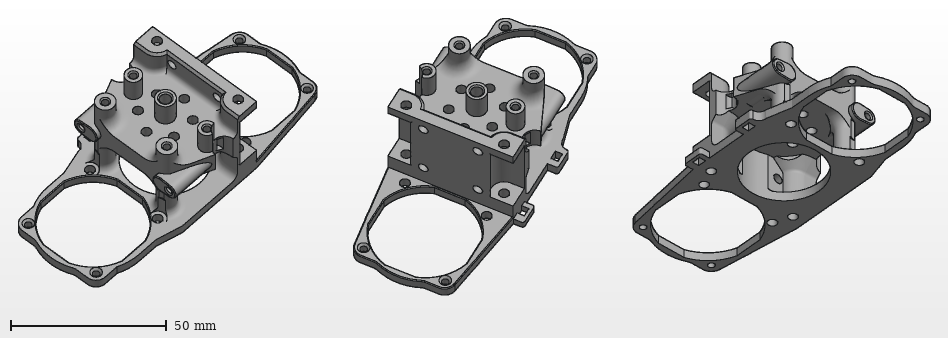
import cadquery as cq
import math

half_width = 22.55
plate_top = 3.6
deck_bottom = 18.3
deck_top = 26.0
overall_height = 35.1
edge_break = 0.3

front_fan_y = -34.5
rear_fan_y = 36.7
ring_radius = 20.0
fan_half_pitch = 14.7
fan_half_side = 18.1
fan_corner_radius = 4.0
fan_opening_radius = 18.4
fan_opening_half_side = 17.54
ring_blend_radius = 3.3
rear_taper_y = 18.9
front_taper_y = -16.7
front_neck_y = -26.4

clearance_diameter = 3.5
pilot_diameter = 2.5
pilot_sink_diameter = 3.5
pilot_depth = 8.9
fan_sink_diameter = 4.0
base_bore_diameter = 30.0

wall_back = 18.7
wall_front_end = 9.63
wall_front_middle = 13.9
wall_hole_x = 17.6
wall_hole_y = 15.4
wall_chamfer = 0.9
wall_deck_fillet = 2.0
wall_deck_bevel = 4.1
wall_bevel_foot = 1.8
wall_base_fillet = 2.9
wall_base_fillet_middle = 1.0
wall_pocket_radius = 4.7
wall_pocket_bottom = 9.4
wall_pocket_top = 31.7
motor_hole_x = 9.8
motor_hole_heights = (10.6, 30.6)

centre_post_diameter = 7.0
centre_bore_diameter = 4.0
centre_sink_diameter = 5.0
board_post_diameter = 6.0
board_posts_x = (-13.9, 18.0)
leg_x = 13.4
leg_y = -14.0
leg_radius = 3.51
leg_deck_fillet = 4.6
leg_base_fillet = 2.9
screw_head_diameter = 6.0
screw_head_clear_top = 10.9
driver_diameter = 5.5

deck_side_end_y = -0.9
deck_setback = 0.02
notch_y = 3.3
notch_radius = 4.2
tie_channel_outer_radius = 3.1
tie_channel_inner_radius = 1.0
tie_channel_bottom = 19.3
tie_channel_top = 25.2
deck_hole_circle_radius = 9.0

boss_x = 18.98
boss_z = 21.5
boss_radius = 3.06
boss_root_x = 15.42
boss_root_radius = 3.3
boss_front_y = -19.5
boss_back_y = -1.1

tab_reach = 3.8
tab_width = 7.9
tab_slot_length = 3.2
tab_slot_reach = 2.6
rear_tab_y = 14.7
rear_tab_slot_y = 14.3
rear_tab_height = 2.6
front_tab_y = -9.6
front_tab_slot_y = -9.7
tab_corner_radius = 0.9
tab_web_radius = 3.0

SIDES = (-1, 1)
fan_corners = [(sx * fan_half_pitch, sy * fan_half_pitch) for sx in SIDES for sy in SIDES]


def box(x0, x1, y0, y1, z0, z1):
    return cq.Workplane("XY").box(x1 - x0, y1 - y0, z1 - z0, centered=False).translate((x0, y0, z0))


def rod(x, y, diameter, z0, z1):
    return cq.Workplane("XY", origin=(x, y, z0)).circle(diameter / 2).extrude(z1 - z0)


def flare(x, y, radius, fillet, z, direction):
    """Concave collar around a post, growing from the plane z towards +Z (1) or -Z (-1)."""
    bend = fillet * (1 - math.sqrt(0.5))
    profile = (
        cq.Workplane("XZ", origin=(x, y, z))
        .lineTo(radius + fillet, 0)
        .threePointArc((radius + bend, direction * bend), (radius, direction * fillet))
        .lineTo(0, direction * fillet)
        .close()
    )
    return profile.revolve(360, (0, 0, 0), (0, 1, 0))


def sunk_pilot(diameter, sink_diameter, depth):
    """Drill along -Z from the origin with a 45 degree countersink."""
    sink = (sink_diameter - diameter) / 2
    profile = (
        cq.Workplane("XZ")
        .lineTo(sink_diameter / 2, 0)
        .lineTo(diameter / 2, -sink)
        .lineTo(diameter / 2, -depth)
        .lineTo(0, -depth)
        .close()
    )
    return profile.revolve(360, (0, 0, 0), (0, 1, 0))


def fan_ring(y):
    square = (
        cq.Workplane("XY", origin=(0, y, 0))
        .rect(2 * fan_half_side, 2 * fan_half_side)
        .extrude(plate_top)
        .edges("|Z").fillet(fan_corner_radius)
    )
    return square.union(rod(0, y, 2 * ring_radius, 0, plate_top))


def blend_ring_end(plate, y, direction):
    """Round the inner corners where a ring bulges past the straight end of its square."""
    corner_x = math.sqrt(ring_radius ** 2 - fan_half_side ** 2)
    corner_y = y + direction * fan_half_side
    margin = 0.6
    selector = cq.selectors.BoxSelector(
        (-corner_x - margin, corner_y - margin, 0),
        (corner_x + margin, corner_y + margin, plate_top),
    )
    return plate.edges("|Z").edges(selector).fillet(ring_blend_radius)


def base_plate():
    rear_corner_y = rear_fan_y + fan_half_pitch
    body = (
        cq.Workplane("XY")
        .polyline([
            (-ring_radius, front_fan_y), (ring_radius, front_fan_y),
            (ring_radius, front_neck_y), (half_width, front_taper_y),
            (half_width, rear_taper_y), (fan_half_side, rear_corner_y),
            (-fan_half_side, rear_corner_y), (-half_width, rear_taper_y),
            (-half_width, front_taper_y), (-ring_radius, front_neck_y),
        ])
        .close()
        .extrude(plate_top)
    )
    rear_limit = box(-half_width, half_width, wall_back, rear_fan_y + ring_radius, 0, plate_top)
    rear = fan_ring(rear_fan_y).intersect(rear_limit)
    plate = body.union(fan_ring(front_fan_y)).union(rear)
    plate = blend_ring_end(plate, front_fan_y, -1)
    plate = blend_ring_end(plate, rear_fan_y, 1)
    behind_wall = cq.selectors.BoxSelector(
        (-half_width, wall_back, 0),
        (half_width, rear_fan_y + ring_radius + 1.1, overall_height),
    )
    return plate.faces(">Z").edges(behind_wall).chamfer(edge_break)


def fan_opening(y):
    """Round opening with four flats and a chamfered upper rim."""
    top = plate_top + leg_base_fillet

    def outline(growth, z0):
        side = fan_opening_half_side + growth
        disc = rod(0, y, 2 * (fan_opening_radius + growth), z0, top)
        return disc.intersect(box(-side, side, y - side, y + side, z0, top))

    rim = outline(edge_break, plate_top - edge_break).faces("<Z").chamfer(edge_break)
    return outline(0, 0).union(rim)


def tab(y, slot_y, height):
    outer_x = -half_width - tab_reach
    body = box(outer_x, -half_width, y - tab_width / 2, y + tab_width / 2, 0, height)
    body = body.edges("|Z and <X").fillet(tab_corner_radius)
    slot = box(
        -half_width - tab_slot_reach, -half_width,
        slot_y - tab_slot_length / 2, slot_y + tab_slot_length / 2, 0, height,
    )
    return body.cut(slot)


def tab_web():
    """Concave web running from the front tab into the plate side."""
    tab_end = front_tab_y - tab_width / 2
    r = tab_web_radius
    bend = r * (1 - math.sqrt(0.5))
    return (
        cq.Workplane("XY", origin=(-half_width, tab_end, 0))
        .lineTo(-r, 0)
        .threePointArc((-bend, -bend), (0, -r))
        .close()
        .extrude(plate_top)
    )


def wall_profile(front_y, back_y, base_fillet):
    """Section of the wall in the YZ plane, with its blends into deck and base."""
    f = front_y
    slant = math.sqrt(0.5)
    rise = 1 - slant
    half_bend = math.radians(22.5)
    foot = wall_bevel_foot * math.tan(half_bend)
    foot_sagitta = wall_bevel_foot * (1 - math.cos(half_bend))
    foot_rise = wall_bevel_foot * math.sin(half_bend)
    corner_z = deck_bottom - wall_deck_bevel
    foot_z = corner_z - foot
    return (
        cq.Workplane("YZ")
        .moveTo(back_y, 0)
        .lineTo(back_y, overall_height)
        .lineTo(f + wall_chamfer, overall_height)
        .lineTo(f, overall_height - wall_chamfer)
        .lineTo(f, deck_top + wall_deck_fillet)
        .threePointArc(
            (f - rise * wall_deck_fillet, deck_top + rise * wall_deck_fillet),
            (f - wall_deck_fillet, deck_top),
        )
        .lineTo(f - wall_deck_bevel, deck_top)
        .lineTo(f - wall_deck_bevel, deck_bottom)
        .lineTo(f - foot * slant, corner_z + foot * slant)
        .threePointArc((f - foot_sagitta, foot_z + foot_rise), (f, foot_z))
        .lineTo(f, plate_top + base_fillet)
        .threePointArc(
            (f - rise * base_fillet, plate_top + rise * base_fillet),
            (f - base_fillet, plate_top),
        )
        .lineTo(f - base_fillet, 0)
        .close()
    )


def wall():
    middle = wall_profile(wall_front_middle, wall_back, wall_base_fillet_middle)
    middle = middle.extrude(wall_hole_x, both=True)
    bevel_bottom = deck_bottom - 2 * wall_deck_bevel
    bevel_space = box(-wall_hole_x, wall_hole_x, 0, wall_front_middle, bevel_bottom, deck_bottom)
    body = middle.cut(bevel_space)
    end_length = half_width - wall_hole_x
    axis = (wall_hole_y, 0, 0), (wall_hole_y, 1, 0)
    for side in SIDES:
        end_centre = side * (wall_hole_x + end_length / 2)
        end = wall_profile(wall_front_end, wall_back, wall_base_fillet).extrude(end_length / 2, both=True)
        body = body.union(end.translate((end_centre, 0, 0)))
        shoulder = wall_profile(wall_front_end, wall_hole_y, wall_base_fillet).revolve(360, *axis)
        body = body.union(shoulder.translate((side * wall_hole_x, 0, 0)))
    return body.intersect(box(-half_width, half_width, 0, wall_back, 0, overall_height))


def cut_wall(part):
    for side in SIDES:
        x = side * wall_hole_x
        pocket = rod(x, wall_hole_y, 2 * wall_pocket_radius, wall_pocket_bottom, wall_pocket_top)
        outer = sorted((x, side * half_width))
        pocket_front = wall_hole_y - wall_pocket_radius
        side_opening = box(*outer, pocket_front, wall_back, wall_pocket_bottom, wall_pocket_top)
        part = part.cut(pocket).cut(side_opening)
        part = part.cut(rod(x, wall_hole_y, clearance_diameter, 0, overall_height))
        for z in motor_hole_heights:
            hole = (
                cq.Workplane("XZ", origin=(side * motor_hole_x, wall_back, z))
                .circle(clearance_diameter / 2)
                .extrude(wall_back - wall_front_end)
            )
            part = part.cut(hole)
    return part


def deck_prism(z0, z1):
    """Deck outline: straight front edge and slanted sides, both nearly tangent to the legs."""
    corner_radius = leg_radius - deck_setback
    front_y = leg_y - corner_radius
    dx = half_width - leg_x
    dy = deck_side_end_y - leg_y
    tangent_angle = math.atan2(dy, dx) - math.acos(corner_radius / math.hypot(dx, dy))
    middle_angle = (tangent_angle - math.pi / 2) / 2

    def on_leg(angle, side):
        return side * (leg_x + corner_radius * math.cos(angle)), leg_y + corner_radius * math.sin(angle)

    return (
        cq.Workplane("XY", origin=(0, 0, z0))
        .moveTo(-leg_x, front_y)
        .lineTo(leg_x, front_y)
        .threePointArc(on_leg(middle_angle, 1), on_leg(tangent_angle, 1))
        .lineTo(half_width, deck_side_end_y)
        .lineTo(half_width, wall_back)
        .lineTo(-half_width, wall_back)
        .lineTo(-half_width, deck_side_end_y)
        .lineTo(*on_leg(tangent_angle, -1))
        .threePointArc(on_leg(middle_angle, -1), (-leg_x, front_y))
        .close()
        .extrude(z1 - z0)
    )


def cut_notches(part):
    """Round side notches, open upwards, each with a ring channel for a cable tie."""
    notch_bottom = deck_bottom - wall_deck_bevel
    for side in SIDES:
        part = part.cut(rod(side * half_width, notch_y, 2 * notch_radius, notch_bottom, overall_height))
        channel = (
            cq.Workplane("XY", origin=(side * (half_width - notch_radius), notch_y, tie_channel_bottom))
            .circle(tie_channel_outer_radius)
            .circle(tie_channel_inner_radius)
            .extrude(tie_channel_top - tie_channel_bottom)
        )
        part = part.cut(channel)
    return part


def leg(side):
    x = side * leg_x
    collars = flare(x, leg_y, leg_radius, leg_deck_fillet, deck_top, 1)
    collars = collars.union(flare(x, leg_y, leg_radius, leg_deck_fillet, deck_bottom, -1))
    collars = collars.intersect(deck_prism(0, overall_height))
    body = rod(x, leg_y, 2 * leg_radius, 0, overall_height)
    return body.union(collars).union(flare(x, leg_y, leg_radius, leg_base_fillet, plate_top, 1))


def boss(side):
    """Horizontal boss: hull of a small outer circle and a larger root circle."""
    spread = boss_x - boss_root_x
    lean = math.acos((boss_root_radius - boss_radius) / spread)

    def rim(x, radius, angle):
        return side * (x + radius * math.cos(angle)), boss_z + radius * math.sin(angle)

    return (
        cq.Workplane("XZ", origin=(0, boss_back_y, 0))
        .moveTo(*rim(boss_x, boss_radius, lean))
        .threePointArc(rim(boss_x, boss_radius, 0), rim(boss_x, boss_radius, -lean))
        .lineTo(*rim(boss_root_x, boss_root_radius, -lean))
        .threePointArc(
            rim(boss_root_x, boss_root_radius, math.pi),
            rim(boss_root_x, boss_root_radius, lean),
        )
        .close()
        .extrude(boss_back_y - boss_front_y)
        .faces("<Y").chamfer(edge_break)
    )


result = wall().union(deck_prism(deck_bottom, deck_top)).union(base_plate())
result = cut_wall(result)
for side in SIDES:
    result = result.union(leg(side))
result = result.cut(rod(0, 0, base_bore_diameter, 0, deck_bottom))
result = result.union(rod(0, 0, centre_post_diameter, deck_top, overall_height))
for x in board_posts_x:
    result = result.union(rod(x, 0, board_post_diameter, deck_top, overall_height))
result = cut_notches(result)

for side in SIDES:
    head_x = side * fan_half_pitch
    head_y = front_fan_y + fan_half_pitch
    result = result.cut(rod(head_x, head_y, screw_head_diameter, plate_top, screw_head_clear_top))
    result = result.cut(rod(head_x, head_y, driver_diameter, screw_head_clear_top, deck_bottom))

for side in SIDES:
    result = result.union(boss(side))
result = result.union(tab(rear_tab_y, rear_tab_slot_y, rear_tab_height))
result = result.union(tab(front_tab_y, front_tab_slot_y, plate_top)).union(tab_web())

fan_pilot = sunk_pilot(pilot_diameter, fan_sink_diameter, plate_top)
for fan_y in (front_fan_y, rear_fan_y):
    result = result.cut(fan_opening(fan_y))
    for x, offset in fan_corners:
        y = fan_y + offset
        if abs(y) > abs(fan_y):
            result = result.cut(fan_pilot.translate((x, y, plate_top)))
        else:
            result = result.cut(rod(x, y, clearance_diameter, 0, plate_top))

pilot = sunk_pilot(pilot_diameter, pilot_sink_diameter, pilot_depth)
boss_pilot = pilot.rotate((0, 0, 0), (1, 0, 0), 90)
for side in SIDES:
    result = result.cut(boss_pilot.translate((side * boss_x, boss_front_y, boss_z)))
    result = result.cut(pilot.translate((side * leg_x, leg_y, overall_height)))
for x in board_posts_x:
    result = result.cut(pilot.translate((x, 0, overall_height)))

centre_bore = sunk_pilot(centre_bore_diameter, centre_sink_diameter, overall_height - deck_bottom)
result = result.cut(centre_bore.translate((0, 0, overall_height)))
for angle in (math.radians(30 + 60 * step) for step in range(6)):
    x = deck_hole_circle_radius * math.cos(angle)
    y = deck_hole_circle_radius * math.sin(angle)
    result = result.cut(rod(x, y, clearance_diameter, deck_bottom, deck_top))